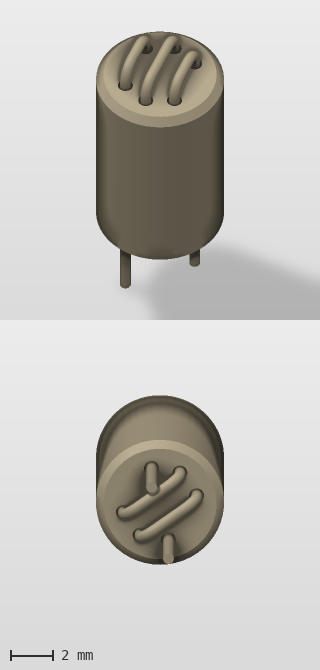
import cadquery as cq
import math

core_diameter = 6.0
core_height = 10.0
core_chamfer = 0.35

hole_diameter = 0.7
hole_circle_radius = 1.75

wire_diameter = 0.5
bend_radius = 0.8
loop_height = 1.25
lead_length = 4.0

threading_angles = [90, 0, 135, 315, 180, 270]

top_level = core_height + loop_height - wire_diameter / 2
bottom_level = -loop_height + wire_diameter / 2


def hole_point(angle, level):
    """Point on the axis of the hole at this angle, in degrees, at height level."""
    turn = math.radians(angle)
    return cq.Vector(hole_circle_radius * math.cos(turn), hole_circle_radius * math.sin(turn), level)


def make_core():
    """Chamfered cylinder with a through hole for each pass of the wire."""
    core = cq.Workplane("XY").circle(core_diameter / 2).extrude(core_height)
    core = core.faces("<Z or >Z").edges().chamfer(core_chamfer)
    centres = [hole_point(angle, 0).toTuple()[:2] for angle in threading_angles]
    holes = cq.Workplane("XY").pushPoints(centres).circle(hole_diameter / 2).extrude(core_height)
    return core.cut(holes)


def wire_corners():
    """Sharp corners of the wire's centre line, from one lead end to the other."""
    corners = [hole_point(threading_angles[0], -lead_length)]
    level = top_level
    for start, end in zip(threading_angles, threading_angles[1:]):
        corners.append(hole_point(start, level))
        corners.append(hole_point(end, level))
        level = bottom_level if level == top_level else top_level
    corners.append(hole_point(threading_angles[-1], -lead_length))
    return corners


def rounded_path(corners):
    """Straight runs joined by a tangent quarter arc at each right-angled corner."""
    edges = []
    run_start = corners[0]
    for before, corner, after in zip(corners, corners[1:], corners[2:]):
        back = (before - corner).normalized() * bend_radius
        ahead = (after - corner).normalized() * bend_radius
        arc_start = corner + back
        arc_end = corner + ahead
        arc_middle = corner + (back + ahead) * (1 - math.sqrt(0.5))
        edges.append(cq.Edge.makeLine(run_start, arc_start))
        edges.append(cq.Edge.makeThreePointArc(arc_start, arc_middle, arc_end))
        run_start = arc_end
    edges.append(cq.Edge.makeLine(run_start, corners[-1]))
    return cq.Wire.assembleEdges(edges)


def make_wire():
    """Round wire swept along the rounded centre line."""
    corners = wire_corners()
    profile = cq.Workplane("XY", origin=corners[0].toTuple()).circle(wire_diameter / 2)
    return profile.sweep(cq.Workplane(obj=rounded_path(corners)))


core = make_core()
wire = make_wire()

result = cq.Compound.makeCompound([core.val(), wire.val()])